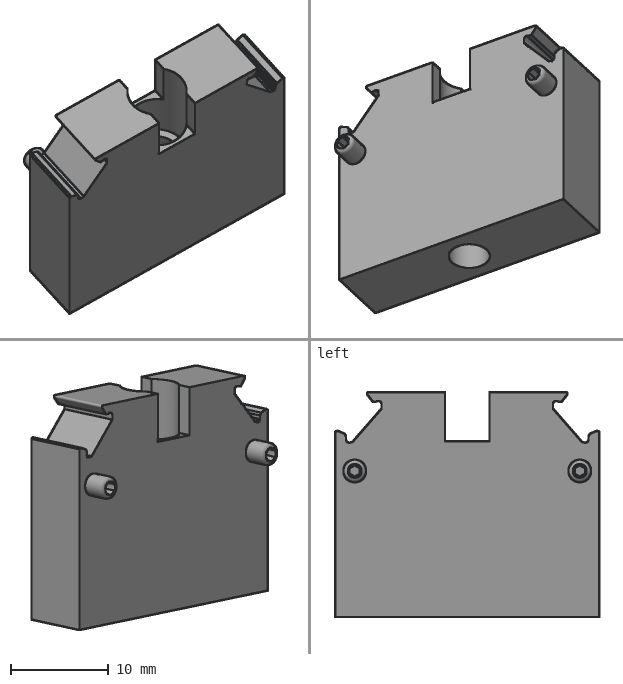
import cadquery as cq
import math

LENGTH = 27.0
HEIGHT = 23.0
THICKNESS = 7.0
HALF_LENGTH = LENGTH / 2

HOOK_REACH = 10.23
HOOK_NECK = 8.78
LIP_DROP = 3.95
NOTCH_DROP = 5.18

SLOT_WIDTH = 4.5
SLOT_DEPTH = 5.02
BORE_DIAMETER = 4.2
COUNTERBORE_DIAMETER = 6.05
COUNTERBORE_DEPTH = 10.0

PIN_DIAMETER = 2.32
OVERALL_WIDTH = 9.48
PIN_LENGTH = OVERALL_WIDTH - THICKNESS
PIN_EDGE_DISTANCE = 2.0
PIN_DROP = 8.07
PIN_ROUNDING = 0.45
SOCKET_FLATS = 1.03
SOCKET_DEPTH = PIN_LENGTH
PIN_Y = HALF_LENGTH - PIN_EDGE_DISTANCE
PIN_Z = HEIGHT - PIN_DROP


def make_block():
    """Extrude half of the clip outline, then mirror it about the middle plane."""
    lip_top = HEIGHT - LIP_DROP
    notch_bottom = HEIGHT - NOTCH_DROP
    half = (
        cq.Workplane("YZ")
        .moveTo(0, 0)
        .lineTo(HALF_LENGTH, 0)
        .lineTo(HALF_LENGTH, lip_top - 0.14)
        .lineTo(HALF_LENGTH - 0.22, lip_top)
        .lineTo(HALF_LENGTH - 0.95, lip_top - 0.3)
        .lineTo(HALF_LENGTH - 1.1, lip_top - 0.57)
        .lineTo(HALF_LENGTH - 1.1, notch_bottom + 0.3)
        .lineTo(HALF_LENGTH - 1.22, notch_bottom + 0.08)
        .lineTo(HALF_LENGTH - 1.43, notch_bottom)
        .lineTo(HALF_LENGTH - 1.78, notch_bottom + 0.1)
        .lineTo(HOOK_NECK, HEIGHT - 1.7)
        .lineTo(HOOK_NECK, HEIGHT - 1.2)
        .threePointArc((HOOK_NECK + 0.1, HEIGHT - 1.0), (HOOK_NECK + 0.32, HEIGHT - 0.92))
        .lineTo(HOOK_NECK + 0.6, HEIGHT - 1.0)
        .lineTo(HOOK_NECK + 0.86, HEIGHT - 1.03)
        .lineTo(HOOK_REACH - 0.03, HEIGHT - 0.3)
        .threePointArc((HOOK_REACH, HEIGHT - 0.1), (HOOK_REACH - 0.14, HEIGHT))
        .lineTo(0, HEIGHT)
        .close()
        .extrude(THICKNESS)
    )
    return half.union(half.mirror("XZ"))


def cut_slot(body):
    """Cut the open slot across the full thickness."""
    slot = cq.Workplane("XY").box(THICKNESS, SLOT_WIDTH, SLOT_DEPTH, centered=(False, True, False))
    return body.cut(slot.translate((0, 0, HEIGHT - SLOT_DEPTH)))


def cut_stepped_bore(body):
    """Cut the vertical through bore and its counterbore."""
    bore = cq.Workplane("XY", origin=(THICKNESS / 2, 0, 0)).circle(BORE_DIAMETER / 2).extrude(HEIGHT)
    counterbore = (
        cq.Workplane("XY", origin=(THICKNESS / 2, 0, HEIGHT))
        .circle(COUNTERBORE_DIAMETER / 2)
        .extrude(-COUNTERBORE_DEPTH)
    )
    return body.cut(bore).cut(counterbore)


def make_pin(y):
    """Make a rounded pin with a round-mouthed socket that narrows to a hexagon."""
    base = cq.Workplane("YZ", origin=(0, y, PIN_Z))
    end = cq.Workplane("YZ", origin=(-PIN_LENGTH, y, PIN_Z))
    pin = base.circle(PIN_DIAMETER / 2).extrude(-PIN_LENGTH).faces("<X").edges().fillet(PIN_ROUNDING)
    socket = (
        end.circle(PIN_DIAMETER / 2 - PIN_ROUNDING)
        .workplane(offset=SOCKET_DEPTH)
        .transformed(rotate=(0, 0, 90))
        .polygon(6, SOCKET_FLATS / math.cos(math.pi / 6))
        .loft()
    )
    return pin.cut(socket)


result = cut_stepped_bore(cut_slot(make_block()))
for side in (-1, 1):
    result = result.union(make_pin(side * PIN_Y))